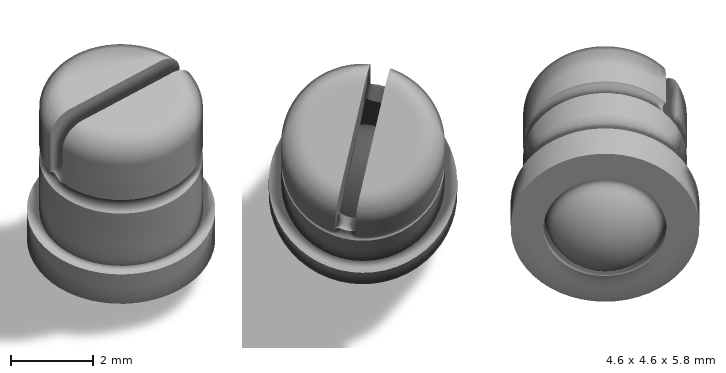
import cadquery as cq

total_height = 5.8
flange_diameter = 4.6
flange_height = 1.0
body_diameter = 3.995
crown_radius = 0.6
ball_diameter = 3.0
ball_protrusion = 0.8
slot_width = 0.5
slot_depth = 2.0
groove_radius = 0.25
groove_offset = 0.1

flange_bottom = ball_protrusion
body_height = total_height - flange_bottom
slot_floor = total_height - slot_depth
slot_round_center = slot_floor + slot_width / 2
groove_height = slot_floor
bore_diameter = ball_diameter
bore_depth = slot_round_center - flange_bottom


def stepped_body():
    """Round body with a wide foot flange and a rounded top edge."""
    body = (
        cq.Workplane("XY")
        .workplane(offset=flange_bottom)
        .circle(body_diameter / 2)
        .extrude(body_height)
        .faces(">Z")
        .edges()
        .fillet(crown_radius)
    )
    flange = (
        cq.Workplane("XY")
        .workplane(offset=flange_bottom)
        .circle(flange_diameter / 2)
        .extrude(flange_height)
    )
    return body.union(flange)


def groove_cutter():
    """Ring of circular section that cuts the groove around the body."""
    return cq.Workplane("XY").add(
        cq.Solid.makeTorus(
            body_diameter / 2 + groove_offset,
            groove_radius,
            cq.Vector(0, 0, groove_height),
            cq.Vector(0, 0, 1),
        )
    )


def slot_cutter():
    """Screwdriver slot along Y with a half-round floor."""
    half_width = slot_width / 2
    return (
        cq.Workplane("XZ")
        .moveTo(-half_width, total_height)
        .lineTo(-half_width, slot_round_center)
        .threePointArc((0, slot_floor), (half_width, slot_round_center))
        .lineTo(half_width, total_height)
        .close()
        .extrude(body_diameter / 2, both=True)
    )


def bore_cutter():
    """Bore for the ball, rising from the foot until it opens into the slot."""
    return (
        cq.Workplane("XY")
        .workplane(offset=flange_bottom)
        .circle(bore_diameter / 2)
        .extrude(bore_depth)
    )


def make_housing():
    """Slotted and grooved housing with its ball bore."""
    return stepped_body().cut(groove_cutter()).cut(bore_cutter()).cut(slot_cutter())


def make_ball():
    """Ball guided by the bore and standing out below the flange."""
    radius = ball_diameter / 2
    return cq.Workplane("XY").sphere(radius).translate((0, 0, radius))


housing = make_housing()
ball = make_ball()

result = cq.Compound.makeCompound([housing.solids().val(), ball.val()])